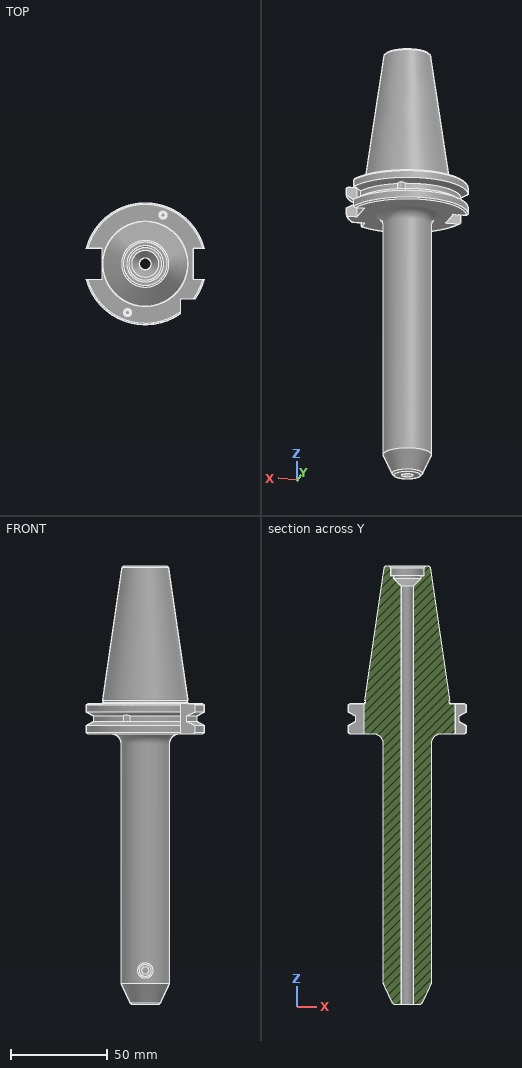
import cadquery as cq
import math

GAUGE_RADIUS = 44.45 / 2
TAPER_TOP = 68.4
TAPER_BOTTOM = -1.0
TAPER_RATIO = 7 / 24
TAPER_TOP_RADIUS = GAUGE_RADIUS - (TAPER_TOP - TAPER_BOTTOM) * TAPER_RATIO / 2
TAPER_TOP_CHAMFER = 0.8

RELIEF_TOP = -1.6
RELIEF_BOTTOM = -2.6
RELIEF_DEPTH = 0.3

FLANGE_RADIUS = 63.55 / 2
FLANGE_TOP = -3.2
FLANGE_BOTTOM = -19.1
FLANGE_CHAMFER = 0.8
GROOVE_CENTRE = -11.15
GROOVE_FLOOR_RADIUS = 56.25 / 2
GROOVE_MOUTH_HALF = 3.5
GROOVE_WALL_ANGLE = 30
GROOVE_FLOOR_HALF = GROOVE_MOUTH_HALF - (
    (FLANGE_RADIUS - GROOVE_FLOOR_RADIUS) * math.tan(math.radians(GROOVE_WALL_ANGLE))
)

SLOT_WIDTH = 16.1
LEFT_SLOT_FLOOR = 22.6
RIGHT_SLOT_FLOOR = 25.0
NOTCH_X = 18.4
NOTCH_Y = -18.3
CUT_MARGIN = 1.0

COOLANT_RADIUS = 4.2 / 2
COOLANT_CIRCLE_RADIUS = 27.0
COOLANT_ANGLES = (70, 250)
COOLANT_BOTTOM = GROOVE_CENTRE - GROOVE_FLOOR_HALF

SHANK_RADIUS = 12.7
SHANK_FILLET = 5.0
NOSE_TOP = -148.9
NOSE_BOTTOM = -160.0
NOSE_END_RADIUS = 8.0
NOSE_CHAMFER = 1.0

ENTRY_RADIUS = 9.5
COUNTERBORE_RADIUS = 8.5
COUNTERBORE_DEPTH = 5.0
CONE_RADIUS = 7.0
CONE_START_DEPTH = 6.5
THROUGH_RADIUS = 3.0
CONE_ANGLE = 45

HEXAGON_SIDES = 6

PLUG_FACE_DEPTH = 0.6
PLUG_BOTTOM = GROOVE_CENTRE + GROOVE_MOUTH_HALF
PLUG_RIM = 0.6
PLUG_SOCKET_FLATS = 2.0
PLUG_SOCKET_DEPTH = 2.0

SCREW_Z = -142.2
SCREW_RADIUS = 4.0
SCREW_FACE_DEPTH = 0.6
SCREW_RIM = 0.9
SCREW_SOCKET_FLATS = 3.6
SCREW_SOCKET_DEPTH = 3.0


def make_body():
    """Revolve the outer outline: taper, collar, grooved flange, shank and nose."""
    outline = (
        cq.Workplane("XZ")
        .moveTo(0, TAPER_TOP)
        .lineTo(TAPER_TOP_RADIUS - TAPER_TOP_CHAMFER, TAPER_TOP)
        .lineTo(
            TAPER_TOP_RADIUS + TAPER_TOP_CHAMFER * TAPER_RATIO / 2,
            TAPER_TOP - TAPER_TOP_CHAMFER,
        )
        .lineTo(GAUGE_RADIUS, TAPER_BOTTOM)
        .lineTo(GAUGE_RADIUS, RELIEF_TOP)
        .lineTo(GAUGE_RADIUS - RELIEF_DEPTH, RELIEF_TOP)
        .lineTo(GAUGE_RADIUS - RELIEF_DEPTH, RELIEF_BOTTOM)
        .lineTo(GAUGE_RADIUS, RELIEF_BOTTOM)
        .lineTo(GAUGE_RADIUS, FLANGE_TOP)
        .lineTo(FLANGE_RADIUS - FLANGE_CHAMFER, FLANGE_TOP)
        .lineTo(FLANGE_RADIUS, FLANGE_TOP - FLANGE_CHAMFER)
        .lineTo(FLANGE_RADIUS, GROOVE_CENTRE + GROOVE_MOUTH_HALF)
        .lineTo(GROOVE_FLOOR_RADIUS, GROOVE_CENTRE + GROOVE_FLOOR_HALF)
        .lineTo(GROOVE_FLOOR_RADIUS, GROOVE_CENTRE - GROOVE_FLOOR_HALF)
        .lineTo(FLANGE_RADIUS, GROOVE_CENTRE - GROOVE_MOUTH_HALF)
        .lineTo(FLANGE_RADIUS, FLANGE_BOTTOM + FLANGE_CHAMFER)
        .lineTo(FLANGE_RADIUS - FLANGE_CHAMFER, FLANGE_BOTTOM)
        .lineTo(SHANK_RADIUS + SHANK_FILLET, FLANGE_BOTTOM)
        .radiusArc((SHANK_RADIUS, FLANGE_BOTTOM - SHANK_FILLET), -SHANK_FILLET)
        .lineTo(SHANK_RADIUS, NOSE_TOP)
        .lineTo(NOSE_END_RADIUS, NOSE_BOTTOM + NOSE_CHAMFER)
        .lineTo(NOSE_END_RADIUS - NOSE_CHAMFER, NOSE_BOTTOM)
        .lineTo(0, NOSE_BOTTOM)
        .close()
    )
    return outline.revolve(360, (0, 0, 0), (0, 1, 0))


def make_bore():
    """Revolve the axial bore: entry chamfer, counterbore, cone and through hole."""
    entry_depth = ENTRY_RADIUS - COUNTERBORE_RADIUS
    cone_start = TAPER_TOP - CONE_START_DEPTH
    cone_height = (CONE_RADIUS - THROUGH_RADIUS) * math.tan(math.radians(CONE_ANGLE))
    outline = (
        cq.Workplane("XZ")
        .moveTo(0, TAPER_TOP)
        .lineTo(ENTRY_RADIUS, TAPER_TOP)
        .lineTo(COUNTERBORE_RADIUS, TAPER_TOP - entry_depth)
        .lineTo(COUNTERBORE_RADIUS, TAPER_TOP - COUNTERBORE_DEPTH)
        .lineTo(CONE_RADIUS, TAPER_TOP - COUNTERBORE_DEPTH)
        .lineTo(CONE_RADIUS, cone_start)
        .lineTo(THROUGH_RADIUS, cone_start - cone_height)
        .lineTo(THROUGH_RADIUS, NOSE_BOTTOM)
        .lineTo(0, NOSE_BOTTOM)
        .close()
    )
    return outline.revolve(360, (0, 0, 0), (0, 1, 0))


def flange_block(x_min, x_max, y_min, y_max):
    """Box cutter over the full flange height."""
    return (
        cq.Workplane("XY")
        .workplane(offset=FLANGE_BOTTOM)
        .center((x_min + x_max) / 2, (y_min + y_max) / 2)
        .rect(x_max - x_min, y_max - y_min)
        .extrude(FLANGE_TOP - FLANGE_BOTTOM)
    )


def cut_flange(body):
    """Cut both drive slots and the corner notch through the flange."""
    reach = FLANGE_RADIUS + CUT_MARGIN
    half_slot = SLOT_WIDTH / 2
    left_slot = flange_block(-reach, -LEFT_SLOT_FLOOR, -half_slot, half_slot)
    right_slot = flange_block(RIGHT_SLOT_FLOOR, reach, -half_slot, half_slot)
    notch = flange_block(NOTCH_X, reach, -reach, NOTCH_Y)
    return body.cut(left_slot).cut(right_slot).cut(notch)


def screw_recess(plane, radius, face_depth, rim, socket_flats, socket_depth):
    """
    Cutter for the visible end of a headless screw in a hole of the same radius.

    The plane lies on the surface and points outward. The screw face is sunk below it,
    with a stepped rim around the face and a hexagon socket in its middle.
    """
    socket_diameter = socket_flats / math.cos(math.pi / HEXAGON_SIDES)
    mouth = plane.circle(radius).extrude(-face_depth)
    rim_ring = plane.circle(radius).circle(radius - rim).extrude(-face_depth - rim)
    socket = plane.polygon(HEXAGON_SIDES, socket_diameter).extrude(-face_depth - socket_depth)
    return mouth.union(rim_ring).union(socket)


def cut_coolant_holes(body):
    """Cut the coolant holes where they cross the groove, and the plug screws above them."""
    for angle in COOLANT_ANGLES:
        x = COOLANT_CIRCLE_RADIUS * math.cos(math.radians(angle))
        y = COOLANT_CIRCLE_RADIUS * math.sin(math.radians(angle))
        top_plane = cq.Workplane("XY", origin=(x, y, FLANGE_TOP))
        bottom_plane = cq.Workplane("XY", origin=(x, y, COOLANT_BOTTOM))
        plug = screw_recess(
            top_plane, COOLANT_RADIUS, PLUG_FACE_DEPTH, PLUG_RIM, PLUG_SOCKET_FLATS, PLUG_SOCKET_DEPTH
        )
        hole = bottom_plane.circle(COOLANT_RADIUS).extrude(PLUG_BOTTOM - COOLANT_BOTTOM)
        body = body.cut(plug).cut(hole)
    return body


def cut_clamping_screw(body):
    """Cut the clamping screw's recess into the -Y side of the shank."""
    plane = cq.Workplane("XZ", origin=(0, -SHANK_RADIUS, SCREW_Z))
    screw = screw_recess(
        plane, SCREW_RADIUS, SCREW_FACE_DEPTH, SCREW_RIM, SCREW_SOCKET_FLATS, SCREW_SOCKET_DEPTH
    )
    return body.cut(screw)


body = make_body().cut(make_bore())
body = cut_flange(body)
body = cut_coolant_holes(body)
result = cut_clamping_screw(body)